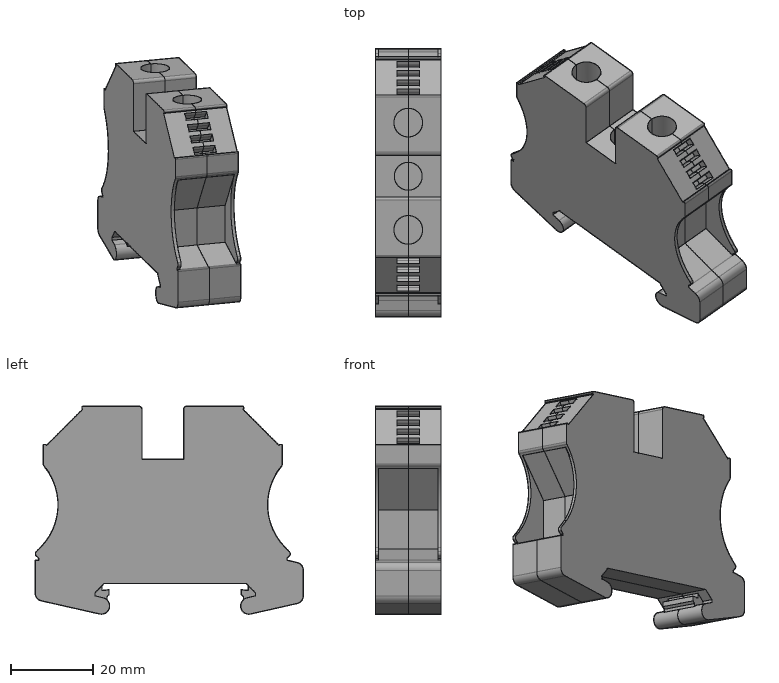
import cadquery as cq
import math

width = 16.0
length = 65.05
height = 50.5

head_y = 1.55
top_half = 19.65
side_half = 29.0
lip_round = 0.4
ramp_top_half = 19.45
ramp_top_z = 49.7
ramp_bottom_half = 28.2
ramp_bottom_z = ramp_top_z - (ramp_bottom_half - ramp_top_half)
ledge_width = 0.6
ledge_z = 41.2
ledge_round = 0.25

waist_half = 25.45
waist_z = 26.55
waist_radius = 14.7
shoulder_round = 0.9
tip_half = 31.2
tip_round = 0.7
notch_half = 30.1
foot_top_z = 13.15

channel_width = 10.1
channel_floor_z = 37.6
channel_round = 0.8
hole_pitch = 13.0
outer_hole_diameter = 6.95
middle_hole_diameter = 6.75
hole_depth = 7.8

pocket_wall = 0.85
pocket_back_half = 20.95
pocket_mouth_half = 28.3
pocket_mouth_z = 35.4
pocket_bend_z = 25.3
pocket_floor_z = 15.9

slot_count = 4
slot_length = 5.5
slot_pitch = 3.1
slot_mouth = 1.9
slot_throat = 1.35
slot_taper_depth = 0.81
slot_depth = 2.4

rail_y = -1.4
rail_roof_half = 17.25
rail_roof_z = 7.4
recess_half = 19.45
hook_radius = 2.0
hook_center_half = 17.9
hook_top_angle = math.radians(14)
foot_angle = math.radians(12.7)
foot_round = 1.95
foot_top_angle = math.radians(13.2)
foot_top_round = 0.2

clip_width = 10.0
clip_shoulder_half = 17.7
clip_shoulder_z = 5.8
clip_nose_half = 16.0
clip_nose_top_z = 6.0
clip_nose_bottom_z = 4.8
clip_neck_half = 16.5
clip_neck_z = 4.2

waist_center_half = waist_half + waist_radius
waist_end_half = waist_center_half - waist_radius * math.sqrt(0.5)
waist_end_z = waist_z - waist_radius * math.sqrt(0.5)
tip_z = waist_end_z - (tip_half - waist_end_half)
recess_top_z = rail_roof_z - (recess_half - rail_roof_half)


def prism(outline, start_x, end_x):
    """Extrude a closed YZ outline from start_x to end_x."""
    return outline.extrude(end_x - start_x).translate((start_x, 0, 0))


def both_head_sides(body):
    """Place a shape built in (half, Z) on both sides of the head's middle plane."""
    return [body.translate((0, head_y, 0)), body.mirror("XZ").translate((0, head_y, 0))]


def head_half(start_x, end_x):
    """One side of the upper housing: top, ramp with its lips, waist, tip and notch."""
    shoulder_half = side_half - shoulder_round
    center_gap = waist_center_half - shoulder_half
    center_distance = waist_radius + shoulder_round
    shoulder_z = waist_z + math.sqrt(center_distance**2 - center_gap**2)
    touch = shoulder_round / center_distance
    touch_half = shoulder_half + touch * center_gap
    touch_z = shoulder_z - touch * (shoulder_z - waist_z)
    tip_trim = tip_round * math.sqrt(0.5)
    outline = (
        cq.Workplane("YZ")
        .moveTo(0, foot_top_z)
        .lineTo(0, height)
        .lineTo(top_half - lip_round, height)
        .tangentArcPoint((top_half, height - lip_round), relative=False)
        .lineTo(top_half, ramp_top_z + top_half - ramp_top_half)
        .lineTo(ramp_top_half, ramp_top_z)
        .lineTo(ramp_bottom_half, ramp_bottom_z)
        .lineTo(side_half - ledge_width, ledge_z)
        .lineTo(side_half - ledge_round, ledge_z)
        .tangentArcPoint((side_half, ledge_z - ledge_round), relative=False)
        .lineTo(side_half, shoulder_z)
        .tangentArcPoint((touch_half, touch_z), relative=False)
        .threePointArc((waist_half, waist_z), (waist_end_half, waist_end_z))
        .lineTo(tip_half - tip_trim, tip_z + tip_trim)
        .tangentArcPoint((tip_half - tip_trim, tip_z - tip_trim), relative=False)
        .lineTo(notch_half, tip_z - (tip_half - notch_half))
        .lineTo(notch_half, foot_top_z)
        .close()
    )
    return prism(outline, start_x, end_x)


def base(start_x, end_x):
    """Lower housing: two feet whose hooks reach under the rail."""
    hook_top = (
        hook_center_half - hook_radius * math.sin(hook_top_angle),
        hook_radius * (1 + math.cos(hook_top_angle)),
    )
    hook_bottom = (
        hook_center_half + hook_radius * math.sin(foot_angle),
        hook_radius * (1 - math.cos(foot_angle)),
    )
    hook_nose = (hook_center_half - hook_radius, hook_radius)
    recess_bottom_z = hook_top[1] + (recess_half - hook_top[0]) * math.tan(hook_top_angle)

    def rail_point(side, point):
        return (rail_y + side * point[0], point[1])

    def foot_corner(side):
        outer_y = side * length / 2
        run = abs(outer_y - rail_point(side, hook_bottom)[0])
        return (outer_y, hook_bottom[1] + run * math.tan(foot_angle))

    notch_y = head_y - notch_half
    sloped_top = (-length / 2, foot_top_z - (notch_y + length / 2) * math.tan(foot_top_angle))
    square_top = (length / 2, foot_top_z)
    outline = (
        cq.Workplane("YZ")
        .moveTo(*square_top)
        .lineTo(*foot_corner(1))
        .lineTo(*rail_point(1, hook_bottom))
        .threePointArc(rail_point(1, hook_nose), rail_point(1, hook_top))
        .lineTo(*rail_point(1, (recess_half, recess_bottom_z)))
        .lineTo(*rail_point(1, (recess_half, recess_top_z)))
        .lineTo(*rail_point(1, (rail_roof_half, rail_roof_z)))
        .lineTo(*rail_point(-1, (rail_roof_half, rail_roof_z)))
        .lineTo(*rail_point(-1, (recess_half, recess_top_z)))
        .lineTo(*rail_point(-1, (recess_half, recess_bottom_z)))
        .lineTo(*rail_point(-1, hook_top))
        .threePointArc(rail_point(-1, hook_nose), rail_point(-1, hook_bottom))
        .lineTo(*foot_corner(-1))
        .lineTo(*sloped_top)
        .lineTo(notch_y, foot_top_z)
        .close()
    )
    body = prism(outline, start_x, end_x)
    rounds = [
        (square_top, foot_top_round),
        (sloped_top, foot_round),
        (foot_corner(1), foot_round),
        (foot_corner(-1), foot_round),
    ]
    for (corner_y, corner_z), radius in rounds:
        corner = ((start_x + end_x) / 2, corner_y, corner_z)
        body = body.edges(cq.selectors.NearestToPointSelector(corner)).fillet(radius)
    return body


def channel():
    """Screwdriver channel across the top, widening through a round at each upper edge."""
    half = channel_width / 2
    mouth = half + channel_round
    outline = (
        cq.Workplane("YZ")
        .moveTo(-half, channel_floor_z)
        .lineTo(half, channel_floor_z)
        .lineTo(half, height - channel_round)
        .tangentArcPoint((mouth, height), relative=False)
        .lineTo(-mouth, height)
        .radiusArc((-half, height - channel_round), channel_round)
        .close()
    )
    return prism(outline, -width / 2, width / 2).translate((0, head_y, 0))


def screw_hole(offset_y, top_z, diameter):
    """Blind vertical hole below top_z."""
    hole = cq.Workplane("XY").circle(diameter / 2).extrude(hole_depth)
    return hole.translate((0, head_y + offset_y, top_z - hole_depth))


def wire_pocket():
    """Pocket between the side walls: sloping roof, upright back and sloping floor."""
    outline = cq.Workplane("YZ").polyline([
        (pocket_mouth_half, pocket_mouth_z),
        (pocket_back_half, pocket_bend_z),
        (pocket_back_half, pocket_floor_z),
        (notch_half, foot_top_z),
        (length, foot_top_z),
        (length, pocket_mouth_z),
    ]).close()
    inner_half_width = width / 2 - pocket_wall
    return prism(outline, -inner_half_width, inner_half_width)


def marker_slots():
    """Row of tapered slots sunk square into one ramp."""
    outline = cq.Workplane("YZ").polyline([
        (-slot_mouth / 2, 0),
        (-slot_throat / 2, -slot_taper_depth),
        (-slot_throat / 2, -slot_depth),
        (slot_throat / 2, -slot_depth),
        (slot_throat / 2, -slot_taper_depth),
        (slot_mouth / 2, 0),
    ]).close()
    slot = prism(outline, -slot_length / 2, slot_length / 2)
    ramp_middle = (0, (ramp_top_half + ramp_bottom_half) / 2, (ramp_top_z + ramp_bottom_z) / 2)
    slots = cq.Workplane("YZ")
    for index in range(slot_count):
        offset = (index - (slot_count - 1) / 2) * slot_pitch
        slots = slots.add(slot.translate((0, offset, 0)))
    return slots.combine().rotate((0, 0, 0), (1, 0, 0), -45).translate(ramp_middle)


def housing_shell(start_x, end_x):
    """One shell of the housing, from the joint to its outer wall."""
    shell = base(start_x, end_x)
    for side in both_head_sides(head_half(start_x, end_x)):
        shell = shell.union(side)
    shell = shell.clean().cut(channel())
    for cutter in both_head_sides(wire_pocket()) + both_head_sides(marker_slots()):
        shell = shell.cut(cutter)
    for offset_y in (-hole_pitch, hole_pitch):
        shell = shell.cut(screw_hole(offset_y, height, outer_hole_diameter))
    return shell.cut(screw_hole(0, channel_floor_z, middle_hole_diameter))


def rail_clip(side, shells):
    """Clip across both shells that fills one hook recess and leaves a gap for the rail edge."""
    points = [
        (recess_half, hook_radius),
        (recess_half, recess_top_z),
        (clip_shoulder_half, rail_roof_z - (clip_shoulder_half - rail_roof_half)),
        (clip_shoulder_half, clip_shoulder_z),
        (clip_nose_half, clip_nose_top_z),
        (clip_nose_half, clip_nose_bottom_z),
        (clip_neck_half, clip_neck_z),
        (clip_neck_half, hook_radius),
    ]
    outline = cq.Workplane("YZ").polyline([(rail_y + side * y, z) for y, z in points]).close()
    clip = prism(outline, -clip_width / 2, clip_width / 2)
    for shell in shells:
        clip = clip.cut(shell)
    return clip


shells = [housing_shell(start_x, start_x + width / 2) for start_x in (-width / 2, 0)]
rail_clips = [rail_clip(side, shells) for side in (-1, 1)]

result = cq.Compound.makeCompound([
    *[shell.solids().val() for shell in shells],
    *[clip.solids().val() for clip in rail_clips],
])